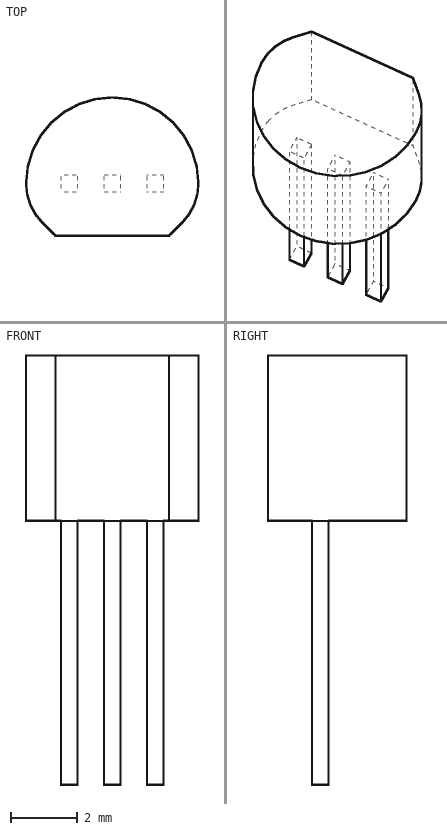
import cadquery as cq
import math


total_height = 13.0
housing_width = 5.23
housing_depth = 4.2
housing_height = 5.0
shoulder_radius = 1.66
facet_angle = 11.25
shoulder_sweep = 45.0

lead_count = 3
lead_side = 0.51
lead_pitch = 1.3

back_radius = housing_width / 2
front_y = back_radius - housing_depth
lead_length = total_height - housing_height


def faceted_arc(center_x, radius, start_angle, end_angle):
    """Corners of a faceted arc about (center_x, 0), both ends included; angles in degrees."""
    facet_count = round((end_angle - start_angle) / facet_angle)
    angles = [math.radians(start_angle + i * facet_angle) for i in range(facet_count + 1)]
    return [(center_x + radius * math.cos(a), radius * math.sin(a)) for a in angles]


def make_housing():
    """Prism with a faceted back, faceted shoulders, two bevels and a flat front."""
    back = faceted_arc(0, back_radius, 0, 180)
    shoulder_center_x = back_radius - shoulder_radius
    right_shoulder = faceted_arc(shoulder_center_x, shoulder_radius, -shoulder_sweep, 0)
    left_shoulder = faceted_arc(-shoulder_center_x, shoulder_radius, 180, 180 + shoulder_sweep)

    shoulder_end_x, shoulder_end_y = right_shoulder[0]
    bevel_depth = shoulder_end_y - front_y
    front_half_width = shoulder_end_x - bevel_depth * math.tan(math.radians(shoulder_sweep))
    front_right = (front_half_width, front_y)
    front_left = (-front_half_width, front_y)

    outline = [front_right] + right_shoulder[:-1] + back + left_shoulder[1:] + [front_left]
    return cq.Workplane("XY").polyline(outline).close().extrude(housing_height)


def make_lead(x):
    """Square lead hanging from the underside of the housing."""
    return cq.Workplane("XY").center(x, 0).rect(lead_side, lead_side).extrude(-lead_length)


housing = make_housing()

first_lead_x = -lead_pitch * (lead_count - 1) / 2
leads = [make_lead(first_lead_x + i * lead_pitch) for i in range(lead_count)]

result = cq.Compound.makeCompound([housing.val(), *[lead.val() for lead in leads]])